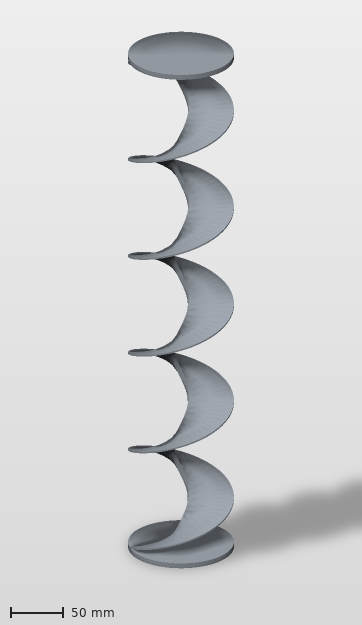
import cadquery as cq
import math

PLATE_DIAMETER = 100.0
PLATE_THICKNESS = 5.0
BLADE_HEIGHT = 500.0
BLADE_PITCH = 100.0
BLADE_INNER_RADIUS = 6.75
BLADE_THICKNESS = 5.0

blade_outer_radius = PLATE_DIAMETER / 2
turn_count = BLADE_HEIGHT / BLADE_PITCH
total_twist = 360.0 * turn_count


def make_plate(bottom_z):
    """Round end plate whose underside lies at bottom_z."""
    plate = cq.Workplane("XY").workplane(offset=bottom_z)
    return plate.circle(PLATE_DIAMETER / 2).extrude(PLATE_THICKNESS)


def make_blade():
    """Radial strip with a rounded outer end; it starts toward -Y and twists counter-clockwise going up."""
    half_thickness = BLADE_THICKNESS / 2
    outer_corner_y = -math.sqrt(blade_outer_radius**2 - half_thickness**2)
    section = (
        cq.Workplane("XY")
        .workplane(offset=PLATE_THICKNESS)
        .moveTo(-half_thickness, -BLADE_INNER_RADIUS)
        .lineTo(-half_thickness, outer_corner_y)
        .threePointArc((0, -blade_outer_radius), (half_thickness, outer_corner_y))
        .lineTo(half_thickness, -BLADE_INNER_RADIUS)
        .close()
    )
    return section.twistExtrude(BLADE_HEIGHT, total_twist)


lower_plate = make_plate(0)
upper_plate = make_plate(PLATE_THICKNESS + BLADE_HEIGHT)
result = lower_plate.union(make_blade()).union(upper_plate)